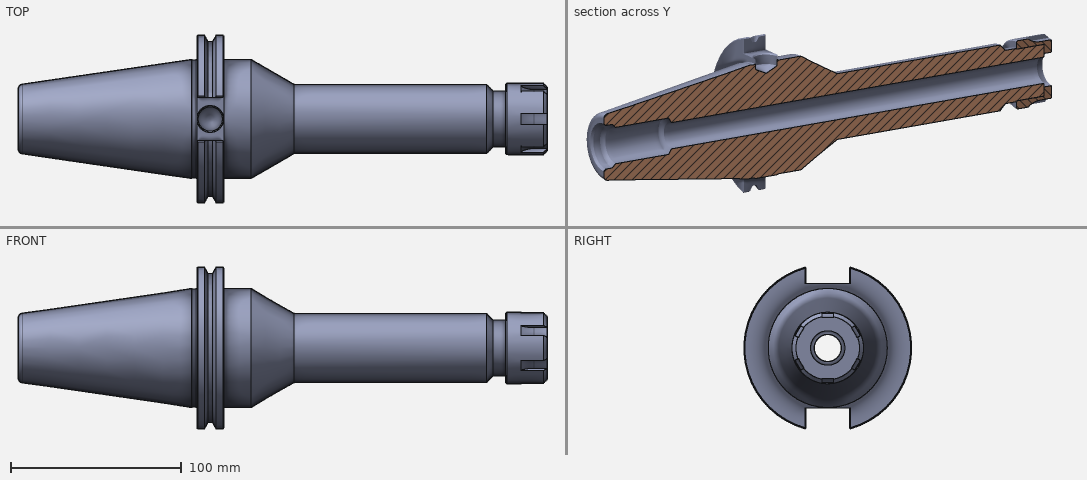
import cadquery as cq
import math


gauge_diameter = 69.85
taper_rate = 7 / 24
taper_length = 101.6
taper_end_diameter = gauge_diameter - taper_rate * taper_length
taper_end_fillet = 3.0
relief_diameter = 69.34
relief_run = 0.8

flange_diameter = 98.43
flange_start = 3.18
flange_width = 15.87
flange_end = flange_start + flange_width
flange_chamfer = 0.6
groove_center = 11.1
groove_depth = 3.6
groove_floor_width = 2.8
groove_side_angle = 30
groove_mouth_width = groove_floor_width + 2 * groove_depth * math.tan(math.radians(groove_side_angle))

drive_slot_width = 25.4
drive_slot_chamfer = 0.69
top_slot_floor = 37.9
bottom_slot_floor = 35.3
dimple_rim_diameter = 15.75
dimple_diameter = 14.3
dimple_chamfer = (dimple_rim_diameter - dimple_diameter) / 2
dimple_wall_depth = 6.5
dimple_point_angle = 130

collar_diameter = gauge_diameter
collar_end = 35.0
shank_start = 60.3
shank_diameter = 40.51
shank_end = 176.9
neck_diameter = 32.88
shank_chamfer = (shank_diameter - neck_diameter) / 2

mouth_diameter = 29.0
pilot_diameter = 26.36
pilot_depth = 6.0
thread_diameter = 21.95
thread_depth = 45.0
step_angle = 90
bore_point_angle = 118
through_diameter = 15.75

nut_diameter = 42.0
nut_length = 24.5
overall_length = 310.39
nut_front = overall_length - taper_length
nut_back = nut_front - nut_length
nut_back_diameter = 40.51
nut_back_chamfer = (nut_diameter - nut_back_diameter) / 2
nut_front_chamfer = 2.4
nut_lip = 5.0
nut_opening_diameter = 20.18
nose_diameter = 32.0
nose_end = nut_front - nut_lip

spanner_slot_count = 6
spanner_slot_width = 6.7
spanner_slot_floor = 18.0
spanner_slot_length = 15.4
spanner_slot_step = 0.8
spanner_cutter_radius = 14.0


def cone_run(large_diameter, small_diameter, included_angle):
    """Axial length of a cone between two diameters."""
    return (large_diameter - small_diameter) / 2 / math.tan(math.radians(included_angle / 2))


def turned(points):
    """Solid of revolution about X from (x, diameter) points, closed along the axis."""
    profile = [(x, diameter / 2) for x, diameter in points]
    profile = [(points[0][0], 0)] + profile + [(points[-1][0], 0)]
    return cq.Workplane("XY").polyline(profile).close().revolve(360, (0, 0, 0), (1, 0, 0))


def make_holder_blank():
    taper = turned([
        (-taper_length, taper_end_diameter),
        (0, gauge_diameter),
        (relief_run, relief_diameter),
        (flange_start - relief_run, relief_diameter),
        (flange_start, gauge_diameter),
    ])
    taper = taper.faces("<X").edges().fillet(taper_end_fillet)
    groove_floor_diameter = flange_diameter - 2 * groove_depth
    flange_rim_diameter = flange_diameter - 2 * flange_chamfer
    front = turned([
        (flange_start, flange_rim_diameter),
        (flange_start + flange_chamfer, flange_diameter),
        (groove_center - groove_mouth_width / 2, flange_diameter),
        (groove_center - groove_floor_width / 2, groove_floor_diameter),
        (groove_center + groove_floor_width / 2, groove_floor_diameter),
        (groove_center + groove_mouth_width / 2, flange_diameter),
        (flange_end - flange_chamfer, flange_diameter),
        (flange_end, flange_rim_diameter),
        (flange_end, collar_diameter),
        (collar_end, collar_diameter),
        (shank_start, shank_diameter),
        (shank_end - shank_chamfer, shank_diameter),
        (shank_end, neck_diameter),
        (nut_back, neck_diameter),
        (nut_back, nose_diameter),
        (nose_end, nose_diameter),
    ])
    return taper.union(front)


def make_bore():
    mouth_run = cone_run(mouth_diameter, pilot_diameter, step_angle)
    thread_run = cone_run(pilot_diameter, thread_diameter, step_angle)
    drill_run = cone_run(thread_diameter, through_diameter, bore_point_angle)
    start = -taper_length
    return turned([
        (start, mouth_diameter),
        (start + mouth_run, pilot_diameter),
        (start + pilot_depth, pilot_diameter),
        (start + pilot_depth + thread_run, thread_diameter),
        (start + thread_depth, thread_diameter),
        (start + thread_depth + drill_run, through_diameter),
        (nose_end, through_diameter),
    ])


def make_drive_slot(floor, side):
    """Slot across the flange on the +Z side (side = 1) or -Z side (side = -1), its wall edges chamfered."""
    half_width = drive_slot_width / 2
    flared = half_width + drive_slot_chamfer
    rim = flange_diameter / 2
    flare_top = math.sqrt(rim**2 - flared**2)
    plan = [
        (flange_start, flared),
        (flange_start + drive_slot_chamfer, half_width),
        (flange_end - drive_slot_chamfer, half_width),
        (flange_end, flared),
    ]
    plan += [(x, -y) for x, y in reversed(plan)]
    slot = cq.Workplane("XY").workplane(offset=floor).polyline(plan).close().extrude(rim - floor)
    section = [
        (half_width, floor),
        (half_width, flare_top - drive_slot_chamfer),
        (flared, flare_top),
        (flared, rim),
    ]
    section += [(-y, z) for y, z in reversed(section)]
    rim_flare = (
        cq.Workplane("YZ").workplane(offset=flange_start).polyline(section).close().extrude(flange_width)
    )
    turn = 0 if side > 0 else 180
    return slot.union(rim_flare).rotate((0, 0, 0), (1, 0, 0), turn)


def make_dimple():
    """Drilled dimple with a chamfered rim and a conical bottom, in the floor of the top drive slot."""
    radius = dimple_diameter / 2
    wall_bottom = top_slot_floor - dimple_wall_depth
    tip = wall_bottom - cone_run(dimple_diameter, 0, dimple_point_angle)
    profile = [
        (0, tip),
        (radius, wall_bottom),
        (radius, top_slot_floor - dimple_chamfer),
        (dimple_rim_diameter / 2, top_slot_floor),
        (0, top_slot_floor),
    ]
    return (
        cq.Workplane("XZ")
        .polyline(profile)
        .close()
        .revolve(360, (0, 0, 0), (0, 1, 0))
        .translate((groove_center, 0, 0))
    )


def make_holder():
    holder = make_holder_blank().cut(make_bore())
    holder = holder.cut(make_drive_slot(top_slot_floor, 1))
    holder = holder.cut(make_drive_slot(bottom_slot_floor, -1))
    return holder.cut(make_dimple())


def make_spanner_slot():
    """Slot open at the nut front, on the +Z side, with its floor rising on an arc to a small back step."""
    rim = nut_diameter / 2
    rise = rim - spanner_slot_step - spanner_slot_floor
    run_out = math.sqrt(spanner_cutter_radius**2 - (spanner_cutter_radius - rise)**2)
    slot_back = nut_front - spanner_slot_length
    floor_back = slot_back + run_out
    half_angle = math.asin(run_out / spanner_cutter_radius) / 2
    arc_middle = (
        floor_back - spanner_cutter_radius * math.sin(half_angle),
        spanner_slot_floor + spanner_cutter_radius * (1 - math.cos(half_angle)),
    )
    return (
        cq.Workplane("XZ")
        .moveTo(nut_front, spanner_slot_floor)
        .lineTo(floor_back, spanner_slot_floor)
        .threePointArc(arc_middle, (slot_back, spanner_slot_floor + rise))
        .lineTo(slot_back, rim)
        .lineTo(nut_front, rim)
        .close()
        .extrude(spanner_slot_width / 2, both=True)
    )


def make_nut():
    nut = turned([
        (nut_back, nut_back_diameter),
        (nut_back + nut_back_chamfer, nut_diameter),
        (nut_front - nut_front_chamfer, nut_diameter),
        (nut_front, nut_diameter - 2 * nut_front_chamfer),
    ])
    nut = nut.cut(turned([
        (nut_back, nose_diameter),
        (nose_end, nose_diameter),
        (nose_end, nut_opening_diameter),
        (nut_front, nut_opening_diameter),
    ]))
    slot = make_spanner_slot()
    for index in range(spanner_slot_count):
        angle = index * 360 / spanner_slot_count
        nut = nut.cut(slot.rotate((0, 0, 0), (1, 0, 0), angle))
    return nut


holder = make_holder()
nut = make_nut()
result = cq.Compound.makeCompound([holder.val(), nut.val()])